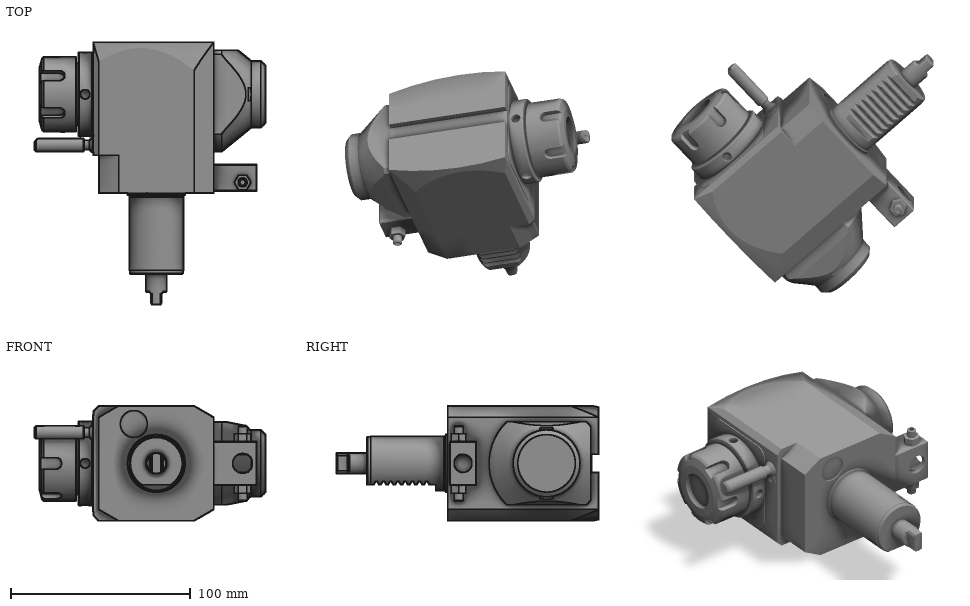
import cadquery as cq
import math


body_half_width = 32.0
body_half_height = 32.0
body_back = 84.0
upper_start = 21.0
upper_left = -35.0
upper_bevel = 3.0
bevel_width = 11.0
bevel_height = bevel_width * math.tan(math.radians(30))
crown_x = -8.7
crown_radius = 150.0
crown_top = 31.25
crown_slope = 13.0
back_slot_width = 10.0
back_slot_depth = 4.0
pad_width = 45.5
pad_height = 53.4
pad_corner = 6.0
pad_thickness = 0.5
front_recess_x = -12.5
front_recess_z = 21.9
front_recess_radius = 7.5
front_recess_depth = 1.0

spindle_y = 55.0
nut_front = -65.0
nut_back = -44.5
nut_radius = 21.0
nut_cone_radius = 20.0
nut_face_radius = 15.0
nut_cone_length = 1.3
nut_edge = 1.2
nut_back_edge = 0.4
bore_radius = 10.3
bore_depth = 3.0
slot_width = 6.5
slot_floor_radius = 17.6
slot_end = -52.7
long_slot_end = -50.9
slot_spacing = 60
ring_front = -43.5
ring_radius = 23.5
ring_edge = 0.5
ring_hole_x = -39.6
ring_hole_radius = 2.65
ring_hole_depth = 4.0
ring_hole_tip = ring_hole_radius / math.tan(math.radians(59))

nozzle_y = 26.8
nozzle_z = 17.2
nozzle_tip = -67.83
nozzle_back = -40.2
nozzle_radius = 3.65
nozzle_edge = 1.0
neck_radius = 2.75
neck_end = -37.2
nozzle_base_radius = 4.3
nozzle_face_offset = 0.5
nozzle_face_angle = 40.0
nozzle_face_turn = -25.0
outlet_offset = 2.0
outlet_radius = 0.6
outlet_depth = 3.0
plug_y = 27.1
plug_z = 10.0
plug_radius = 4.6
plug_thickness = 0.3
plug_socket_size = 2.8
plug_socket_depth = 2.0

shank_radius = 15.2
shank_end = -45.0
shank_edge = 0.5
shank_lead_length = 2.2
shank_lead_radius = 14.9
collar_radius = 16.1
collar_length = 1.0
relief_start = -1.5
relief_end = -2.3
relief_radius = 15.0
rack_flat = -12.0
rack_start = -6.8
rack_pitch = 4.0
rack_count = 8
rack_first = -11.7
rack_depth = 2.0
rack_root_width = 0.8
rack_top_width = 3.1
drive_radius = 5.9
drive_shoulder = -55.1
drive_end = -62.0
drive_edge = 0.6
drive_end_edge = 0.3
tang_half_width = 3.0
tang_end_bevel = (0.6, 0.9)
tang_side_bevel = (0.8, 1.35)
tang_flat_half_height = 4.15
tang_root_bevel = 0.8

cap_radius = 32.0
cap_rim_length = 4.3
cap_cone_end = 52.75
cap_end = 60.8
cap_boss_radius = 18.6
cap_boss_edge = 2.6
cap_half_height = 23.1
cap_back = 79.5
cap_flat_end = 38.9
cap_flat_slope = math.tan(math.radians(11))
cap_notch_start = 51.1
cap_notch_width = 7.4

lug_end = 56.0
lug_front = 1.0
lug_back = 16.0
lug_half_height = 12.3
lug_edge = 0.5
lug_hole_x = 48.0
lug_hole_radius = 5.5
lug_end_hole_radius = 5.0
screw_y = 6.0
screw_radius = 2.5
screw_reach = 21.0
screw_edge = 0.5
screw_tip_radius = 2.1
screw_tip = 4.9
locknut_flats = 8.0
locknut_height = 4.3
screw_socket_size = 3.0
screw_socket_depth = 2.0

overlap = 1.0
clearance = 100.0


def across_corners(flats):
    return flats / math.cos(math.radians(30))


def turned_x(profile, y, z):
    """Solid of revolution about an X-parallel axis; profile holds (x, radius) points."""
    shape = cq.Workplane("XY").polyline(profile).close().revolve(360, (0, 0, 0), (1, 0, 0))
    return shape.translate((0, y, z))


def turned_y(profile):
    """Solid of revolution about the Y axis; profile holds (radius, y) points."""
    return cq.Workplane("XY").polyline(profile).close().revolve(360, (0, 0, 0), (0, 1, 0))


def box(x_range, y_range, z_range):
    size = [end - start for start, end in (x_range, y_range, z_range)]
    corner = (x_range[0], y_range[0], z_range[0])
    return cq.Workplane("XY").box(*size, centered=False).translate(corner)


def bevelled_block(left, left_bevel, y_start, y_end):
    """Housing section along Y with bevelled long edges; left_bevel is (width, height)."""
    left_w, left_h = left_bevel
    upper = [
        (left, body_half_height - left_h),
        (left + left_w, body_half_height),
        (body_half_width - bevel_width, body_half_height),
        (body_half_width, body_half_height - bevel_height),
    ]
    lower = [(x, -z) for x, z in reversed(upper)]
    block = cq.Workplane("XZ").polyline(upper + lower).close().extrude(y_start - y_end)
    return block.translate((0, y_start, 0))


def crown_cone():
    """Large cone whose flank forms the sloping crown along the top back edge."""
    front_radius = crown_radius + body_back * math.tan(math.radians(crown_slope))
    cone = turned_y([(0, 0), (front_radius, 0), (crown_radius, body_back), (0, body_back)])
    return cone.translate((crown_x, 0, crown_top - crown_radius))


def make_housing():
    front = bevelled_block(-body_half_width, (bevel_width, bevel_height), 0, upper_start)
    upper = bevelled_block(upper_left, (upper_bevel, upper_bevel), upper_start, body_back)
    crown = crown_cone()
    upper = upper.intersect(crown).intersect(crown.mirror("XY"))
    back_slot = box(
        (-clearance, clearance),
        (body_back - back_slot_depth, body_back + overlap),
        (-back_slot_width / 2, back_slot_width / 2),
    )
    recess = (
        cq.Workplane("XZ")
        .center(front_recess_x, front_recess_z)
        .circle(front_recess_radius)
        .extrude(-front_recess_depth)
    )
    pad = (
        cq.Workplane("YZ", origin=(upper_left - pad_thickness, spindle_y, 0))
        .rect(pad_width, pad_height)
        .extrude(pad_thickness + overlap)
        .edges("|X")
        .fillet(pad_corner)
    )
    return front.union(upper).cut(back_slot).cut(recess).union(pad)


def nut_slot(angle, end):
    """Spanner slot along the nut with a rounded end, turned about the spindle axis from +Y."""
    straight_end = end - slot_width / 2
    slot = (
        cq.Workplane("XZ", origin=(0, slot_floor_radius, 0))
        .moveTo(nut_front - overlap, -slot_width / 2)
        .lineTo(straight_end, -slot_width / 2)
        .threePointArc((end, 0), (straight_end, slot_width / 2))
        .lineTo(nut_front - overlap, slot_width / 2)
        .close()
        .extrude(-slot_width)
    )
    return slot.rotate((0, 0, 0), (1, 0, 0), angle).translate((0, spindle_y, 0))


def ring_drill():
    """Pointed drill shape for the ring's radial holes, standing along Z."""
    bottom = ring_radius - ring_hole_depth
    profile = [
        (0, bottom - ring_hole_tip),
        (ring_hole_radius, bottom),
        (ring_hole_radius, ring_radius + overlap),
        (0, ring_radius + overlap),
    ]
    drill = cq.Workplane("XZ").polyline(profile).close().revolve(360, (0, 0, 0), (0, 1, 0))
    return drill.translate((ring_hole_x, 0, 0))


def make_spindle():
    ring_back = upper_left - pad_thickness
    cone_back = nut_front + nut_cone_length
    profile = [
        (nut_front, 0),
        (nut_front, nut_face_radius),
        (cone_back, nut_cone_radius),
        (cone_back + nut_edge, nut_radius),
        (nut_back - nut_back_edge, nut_radius),
        (nut_back, nut_radius - nut_back_edge),
        (nut_back, slot_floor_radius),
        (ring_front, slot_floor_radius),
        (ring_front, ring_radius - ring_edge),
        (ring_front + ring_edge, ring_radius),
        (ring_back - ring_edge, ring_radius),
        (ring_back, ring_radius - ring_edge),
        (upper_left + overlap, ring_radius - ring_edge),
        (upper_left + overlap, 0),
    ]
    spindle = turned_x(profile, spindle_y, 0)
    bore_end = nut_front + bore_depth
    bore = [(nut_front, 0), (nut_front, bore_radius), (bore_end, bore_radius), (bore_end, 0)]
    spindle = spindle.cut(turned_x(bore, spindle_y, 0))
    for angle in range(0, 360, slot_spacing):
        end = long_slot_end if 0 < angle < 180 else slot_end
        spindle = spindle.cut(nut_slot(angle, end))
    drill = ring_drill()
    for angle in range(0, 360, 90):
        hole = drill.rotate((0, 0, 0), (1, 0, 0), angle).translate((0, spindle_y, 0))
        spindle = spindle.cut(hole)
    return spindle


def make_nozzle():
    """Coolant nozzle with a slanted outlet face at its tip."""
    profile = [
        (nozzle_tip, 0),
        (nozzle_tip, nozzle_radius - nozzle_edge),
        (nozzle_tip + nozzle_edge, nozzle_radius),
        (nozzle_back - nozzle_edge / 2, nozzle_radius),
        (nozzle_back, nozzle_radius - nozzle_edge / 2),
        (nozzle_back, neck_radius),
        (neck_end, neck_radius),
        (upper_left - pad_thickness, nozzle_base_radius),
        (upper_left + overlap, nozzle_base_radius),
        (upper_left + overlap, 0),
    ]
    nozzle = turned_x(profile, 0, 0)
    reach = 2 * nozzle_radius
    drop = reach * math.tan(math.radians(nozzle_face_angle))
    slant = (
        cq.Workplane("XY", origin=(nozzle_tip, nozzle_face_offset, -reach))
        .polyline([(0, 0), (drop, reach), (0, reach)])
        .close()
        .extrude(2 * reach)
    )
    outlet = (
        cq.Workplane("YZ", origin=(nozzle_tip, 0, 0))
        .center(outlet_offset, 0)
        .circle(outlet_radius)
        .extrude(outlet_depth)
    )
    nozzle = nozzle.cut(slant).cut(outlet)
    nozzle = nozzle.rotate((0, 0, 0), (1, 0, 0), nozzle_face_turn)
    return nozzle.translate((0, nozzle_y, nozzle_z))


def add_plug(body):
    plug_face = cq.Workplane("YZ", origin=(upper_left - plug_thickness, plug_y, plug_z))
    plug = plug_face.circle(plug_radius).extrude(plug_thickness + overlap)
    socket = plug_face.polygon(6, across_corners(plug_socket_size)).extrude(plug_socket_depth)
    return body.union(plug).cut(socket)


def make_shank():
    profile = [
        (0, overlap),
        (collar_radius, overlap),
        (collar_radius, -collar_length),
        (relief_radius, relief_start),
        (relief_radius, relief_end),
        (shank_radius, relief_end),
        (shank_radius, shank_end + shank_lead_length),
        (shank_lead_radius, shank_end + shank_lead_length),
        (shank_lead_radius, shank_end + shank_edge),
        (shank_lead_radius - shank_edge, shank_end),
        (drive_radius, shank_end),
        (drive_radius, drive_shoulder + drive_edge),
        (drive_radius - drive_edge, drive_shoulder),
        (0, drive_shoulder),
    ]
    shank = turned_y(profile)
    flat = box((-clearance, clearance), (shank_end, rack_start), (-clearance, rack_flat))
    shank = shank.cut(flat)
    for index in range(rack_count):
        shank = shank.cut(rack_groove(rack_first - index * rack_pitch))
    return shank.union(make_tang())


def mirrored_outline(plane, right_side):
    """Closed outline symmetric about the vertical axis, from its right-hand points."""
    left_side = [(-x, height) for x, height in reversed(right_side)]
    return cq.Workplane(plane).polyline(right_side + left_side).close()


def make_tang():
    """Driving tang with bevelled edges, flared at its root."""
    end_x, end_y = tang_end_bevel
    side_x, side_z = tang_side_bevel
    root = drive_shoulder + overlap
    plan = mirrored_outline("XY", [
        (tang_half_width + tang_root_bevel, root),
        (tang_half_width + tang_root_bevel, drive_shoulder),
        (tang_half_width, drive_shoulder - tang_root_bevel),
        (tang_half_width, drive_end + end_y),
        (tang_half_width - end_x, drive_end),
    ]).extrude(drive_radius, both=True)
    bevel_z = tang_flat_half_height + side_z
    section = mirrored_outline("XZ", [
        (tang_half_width - side_x, -drive_radius),
        (tang_half_width - side_x, -bevel_z),
        (tang_half_width, -tang_flat_half_height),
        (tang_half_width, tang_flat_half_height),
        (tang_half_width - side_x, bevel_z),
        (tang_half_width - side_x, drive_radius),
    ]).extrude(-drive_end)
    root_end = drive_shoulder - tang_root_bevel
    root_block = box((-drive_radius, drive_radius), (root_end, root), (-drive_radius, drive_radius))
    round_bar = turned_y([
        (0, root),
        (drive_radius, root),
        (drive_radius, drive_end + drive_end_edge),
        (drive_radius - drive_end_edge, drive_end),
        (0, drive_end),
    ])
    return plan.intersect(section.union(root_block)).intersect(round_bar)


def rack_groove(y):
    """Trapezoidal groove across the underside flat."""
    return (
        cq.Workplane("YZ")
        .polyline([
            (y - rack_top_width / 2, rack_flat),
            (y - rack_root_width / 2, rack_flat + rack_depth),
            (y + rack_root_width / 2, rack_flat + rack_depth),
            (y + rack_top_width / 2, rack_flat),
        ])
        .close()
        .extrude(clearance, both=True)
    )


def make_cap():
    rim_end = body_half_width + cap_rim_length
    inside = body_half_width - overlap
    profile = [
        (inside, 0),
        (inside, cap_radius),
        (rim_end, cap_radius),
        (cap_cone_end, cap_boss_radius),
        (cap_end - cap_boss_edge, cap_boss_radius),
        (cap_end, cap_boss_radius - cap_boss_edge),
        (cap_end, 0),
    ]
    cap = turned_x(profile, spindle_y, 0)
    end_height = cap_half_height - (cap_end - cap_flat_end) * cap_flat_slope
    upper = [(inside, cap_half_height), (cap_flat_end, cap_half_height), (cap_end, end_height)]
    lower = [(x, -z) for x, z in reversed(upper)]
    envelope = cq.Workplane("XZ").polyline(upper + lower).close().extrude(-cap_back)
    cap = cap.intersect(envelope)
    notch = box(
        (cap_notch_start, cap_cone_end),
        (spindle_y - cap_notch_width / 2, spindle_y + cap_notch_width / 2),
        (cap_boss_radius, clearance),
    )
    return cap.cut(notch).cut(notch.mirror("XY"))


def make_clamp_screw():
    """Hexagon socket screw with its locknut, standing on the top of the lug."""
    seat = lug_half_height - overlap
    screw = (
        cq.Workplane("XY", origin=(lug_hole_x, screw_y, seat))
        .circle(screw_radius)
        .extrude(screw_reach - seat)
        .faces(">Z")
        .chamfer(screw_edge)
    )
    locknut = (
        cq.Workplane("XY", origin=(lug_hole_x, screw_y, seat))
        .polygon(6, across_corners(locknut_flats))
        .extrude(locknut_height + overlap)
    )
    socket = (
        cq.Workplane("XY", origin=(lug_hole_x, screw_y, screw_reach - screw_socket_depth))
        .polygon(6, across_corners(screw_socket_size))
        .extrude(screw_socket_depth)
    )
    tip = (
        cq.Workplane("XY", origin=(lug_hole_x, screw_y, screw_tip))
        .circle(screw_tip_radius)
        .extrude(lug_half_height - screw_tip)
    )
    return screw.union(locknut).cut(socket).union(tip)


def make_lug():
    lug = box(
        (body_half_width - overlap, lug_end),
        (lug_front, lug_back),
        (-lug_half_height, lug_half_height),
    )
    lug = lug.edges(">X or |X").chamfer(lug_edge)
    cross_hole = (
        cq.Workplane("XZ")
        .center(lug_hole_x, 0)
        .circle(lug_hole_radius)
        .extrude(-lug_back - overlap)
    )
    end_hole = (
        cq.Workplane("YZ", origin=(lug_hole_x, 0, 0))
        .center((lug_front + lug_back) / 2, 0)
        .circle(lug_end_hole_radius)
        .extrude(lug_end - lug_hole_x + overlap)
    )
    clamp_screw = make_clamp_screw()
    return lug.cut(cross_hole).cut(end_hole).union(clamp_screw).union(clamp_screw.mirror("XY"))


result = make_housing().union(make_spindle()).union(make_nozzle())
result = add_plug(result)
result = result.union(make_shank()).union(make_cap()).union(make_lug())